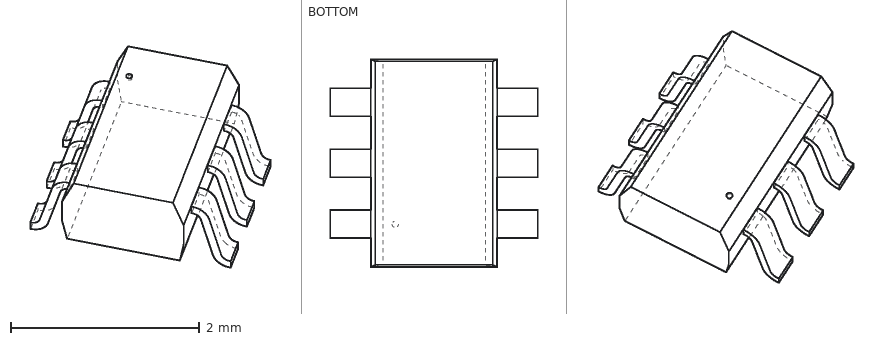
import cadquery as cq
import math

overall_width = 2.21
overall_height = 1.09

housing_width = 1.341
housing_length = 2.21
housing_height = 0.842
band_height = housing_height / 3
housing_bottom = overall_height - housing_height
band_bottom = housing_bottom + band_height
band_top = band_bottom + band_height
top_side_inset = 0.124
bottom_side_inset = 0.049
end_inset = 0.025

leads_per_side = 3
lead_pitch = 0.648
lead_width = 0.3
lead_thickness = 0.097
lead_top = 0.798
inner_radius = lead_thickness
outer_radius = inner_radius + lead_thickness
leg_tilt = math.radians(15)
bend_angle = math.pi / 2 - leg_tilt

marker_diameter = 0.066
marker_depth = 0.022
marker_side_gap = 0.133
marker_x = -housing_width / 2 + top_side_inset + marker_side_gap
marker_y = lead_pitch


def frustum(z_start, z_end, side_inset):
    """Taper from the full band outline at z_start to the inset outline at z_end."""
    return (
        cq.Workplane("XY", origin=(0, 0, z_start))
        .rect(housing_width, housing_length)
        .workplane(offset=z_end - z_start)
        .rect(housing_width - 2 * side_inset, housing_length - 2 * end_inset)
        .loft(ruled=True)
    )


def make_marker():
    return (
        cq.Workplane("XY", origin=(marker_x, marker_y, overall_height - marker_depth))
        .circle(marker_diameter / 2)
        .extrude(marker_depth)
    )


def make_housing():
    band = (
        cq.Workplane("XY", origin=(0, 0, band_bottom))
        .rect(housing_width, housing_length)
        .extrude(band_height)
    )
    upper = frustum(band_top, overall_height, top_side_inset)
    lower = frustum(band_bottom, housing_bottom, bottom_side_inset)
    marker_recess = make_marker()
    return band.union(upper).union(lower).cut(marker_recess)


def make_lead(side, y_centre):
    """Lead on the -X side (side = -1) or the +X side (side = 1), centred on y_centre."""
    root_x = housing_width / 2
    tip_x = overall_width / 2

    bend_run_sum = (inner_radius + outer_radius) * math.sin(bend_angle)
    bend_drop_sum = (inner_radius + outer_radius) * (1 - math.cos(bend_angle))
    leg_drop = lead_top - lead_thickness - bend_drop_sum
    leg_run = leg_drop * math.tan(leg_tilt)
    flat = (tip_x - root_x - bend_run_sum - leg_run) / 2

    shoulder_x = root_x + flat
    shoulder_z = lead_top - outer_radius
    heel_x = tip_x - flat
    heel_z = outer_radius

    def on_shoulder(radius, angle):
        """Point on the upper bend, at an angle turned from straight up."""
        x = shoulder_x + radius * math.sin(angle)
        return side * x, shoulder_z + radius * math.cos(angle)

    def on_heel(radius, angle):
        """Point on the lower bend, at an angle turned from straight down."""
        x = heel_x - radius * math.sin(angle)
        return side * x, heel_z - radius * math.cos(angle)

    half_bend = bend_angle / 2
    profile = (
        cq.Workplane("XZ", origin=(0, y_centre + lead_width / 2, 0))
        .moveTo(side * root_x, lead_top)
        .lineTo(*on_shoulder(outer_radius, 0))
        .threePointArc(on_shoulder(outer_radius, half_bend), on_shoulder(outer_radius, bend_angle))
        .lineTo(*on_heel(inner_radius, bend_angle))
        .threePointArc(on_heel(inner_radius, half_bend), on_heel(inner_radius, 0))
        .lineTo(side * tip_x, lead_thickness)
        .lineTo(side * tip_x, 0)
        .lineTo(*on_heel(outer_radius, 0))
        .threePointArc(on_heel(outer_radius, half_bend), on_heel(outer_radius, bend_angle))
        .lineTo(*on_shoulder(inner_radius, bend_angle))
        .threePointArc(on_shoulder(inner_radius, half_bend), on_shoulder(inner_radius, 0))
        .lineTo(side * root_x, lead_top - lead_thickness)
        .close()
    )
    return profile.extrude(lead_width)


housing = make_housing()
marker = make_marker()

leads = []
for side in (-1, 1):
    for index in range(leads_per_side):
        y_centre = (index - (leads_per_side - 1) / 2) * lead_pitch
        leads.append(make_lead(side, y_centre).val())

result = cq.Compound.makeCompound([housing.val(), marker.val(), *leads])